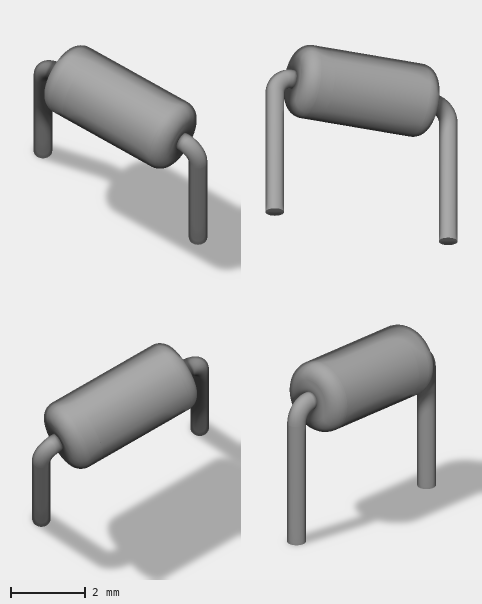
import cadquery as cq

overall_length = 5.58
wire_diameter = 0.5
bend_radius = 0.5
body_diameter = 2.0
body_length = 4.0
overall_height = 5.0
edge_round = 0.4
cap_length = 0.805

axis_height = overall_height - body_diameter / 2
leg_x = (overall_length - wire_diameter) / 2
body_end_x = body_length / 2
joint_x = -body_end_x + cap_length


def make_wire():
    """One round wire: up the left leg, along the body axis, down the right leg."""
    bend_start_z = axis_height - bend_radius
    bend_end_x = leg_x - bend_radius
    centerline = (
        cq.Workplane("XZ")
        .moveTo(-leg_x, 0)
        .lineTo(-leg_x, bend_start_z)
        .tangentArcPoint((-bend_end_x, axis_height), relative=False)
        .lineTo(bend_end_x, axis_height)
        .tangentArcPoint((leg_x, bend_start_z), relative=False)
        .lineTo(leg_x, 0)
    )
    return (
        cq.Workplane("XY", origin=(-leg_x, 0, 0))
        .circle(wire_diameter / 2)
        .sweep(centerline)
    )


def make_sleeve(start_x, end_x, rounded_end):
    """Cylinder bored for the wire, with the outer edge of one end face rounded."""
    return (
        cq.Workplane("YZ", origin=(start_x, 0, axis_height))
        .circle(body_diameter / 2)
        .extrude(end_x - start_x)
        .faces(rounded_end)
        .edges()
        .fillet(edge_round)
        .faces("<X")
        .workplane(centerOption="CenterOfMass")
        .hole(wire_diameter)
    )


wire = make_wire()
end_cap = make_sleeve(-body_end_x, joint_x, "<X")
body = make_sleeve(joint_x, body_end_x, ">X")

result = cq.Compound.makeCompound([body.val(), end_cap.val(), wire.val()])